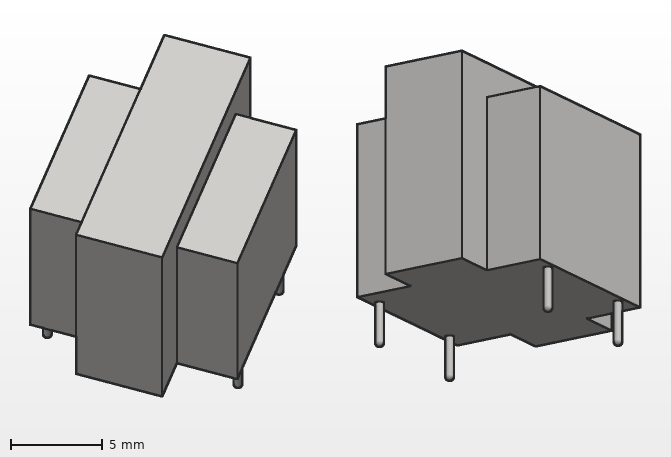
import cadquery as cq

core_width = 5.0
core_length = 15.0
core_height = 12.0

bobbin_width = 12.0
bobbin_length = 10.0
bobbin_height = 10.0

pin_diameter = 0.5
pin_length = 2.54
pin_spacing_x = 11.04
pin_spacing_y = 7.0
pin_tip_round = 0.24


def block(width, length, height):
    """Block centred on the Z axis, standing on the plane Z = 0."""
    return cq.Workplane("XY").box(width, length, height, centered=(True, True, False))


def pins():
    """Four pins hanging below Z = 0, with rounded tips."""
    return (
        cq.Workplane("XY")
        .rect(pin_spacing_x, pin_spacing_y, forConstruction=True)
        .vertices()
        .circle(pin_diameter / 2)
        .extrude(-pin_length)
        .faces("<Z")
        .edges()
        .fillet(pin_tip_round)
    )


core = block(core_width, core_length, core_height)
bobbin = block(bobbin_width, bobbin_length, bobbin_height)
result = core.union(bobbin).union(pins())